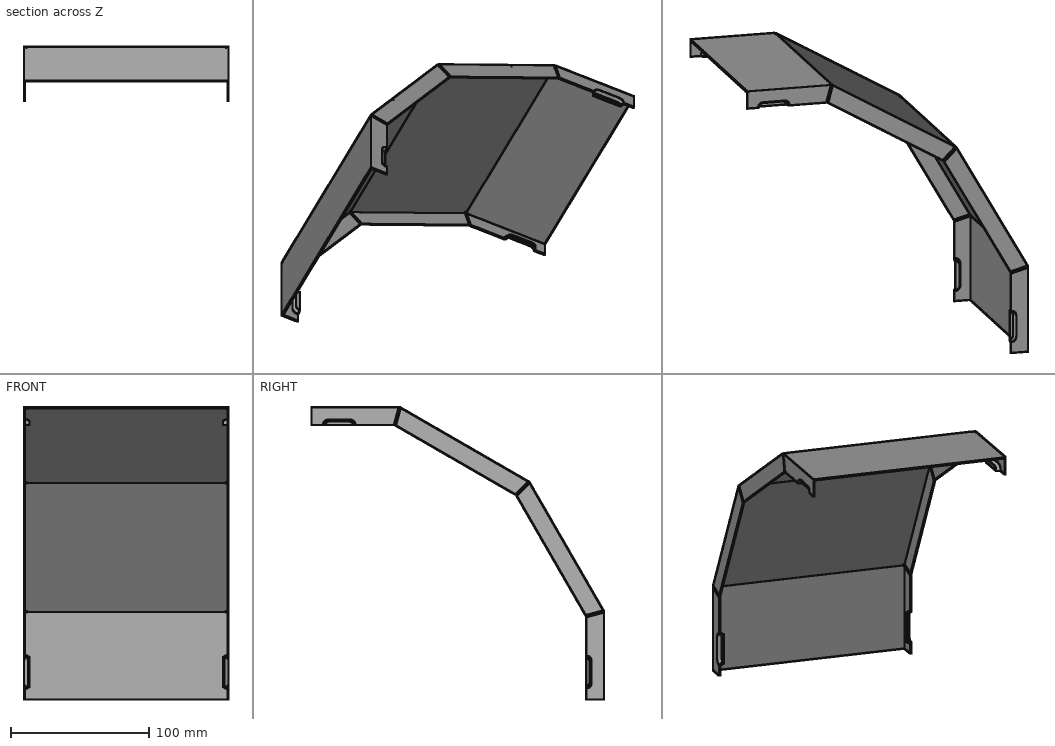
import cadquery as cq
import math

width = 148.0
overall = 211.35

sheet = 1.0
flange_depth = 13.0
fold_angle = 30.0
fold_count = 3
end_panel = 63.8
fold = math.radians(fold_angle)
half_fold = fold / 2
slant_panel = (overall - end_panel) / (math.sin(fold) + math.cos(fold))

slit_width = 1.2
slit_reach = 2.0

dimple_centre = 20.0
dimple_straight = 15.5
dimple_radius = 4.0
dimple_depth = 3.0
dimple_inset = 1.5

half_width = width / 2


def fold_points():
    """Outer (Y, Z) corners from the lower free end to the upper free end."""
    run_short = slant_panel * math.sin(fold)
    run_long = slant_panel * math.cos(fold)
    return [
        (overall, 0),
        (overall, end_panel),
        (overall - run_short, end_panel + run_long),
        (end_panel, overall),
        (0, overall),
    ]


def inner_points(offset):
    """Fold corners moved inward so every panel lies `offset` below its outer face."""
    corners = fold_points()
    moved = [(overall - offset, 0)]
    for index, (y, z) in enumerate(corners[1:-1]):
        bisector = fold * index + half_fold
        reach = offset / math.cos(half_fold)
        moved.append((y - reach * math.cos(bisector), z - reach * math.sin(bisector)))
    moved.append((0, overall - offset))
    return moved


def folded_band(depth, x_start, x_length):
    """Band that follows the folds, `depth` thick, extruded along X."""
    outline = fold_points() + inner_points(depth)[::-1]
    return cq.Workplane("YZ").workplane(offset=x_start).polyline(outline).close().extrude(x_length)


def folded_sheet():
    """Roof of four panels with a flange folded down along each side."""
    roof = folded_band(sheet, -half_width, width)
    left_flange = folded_band(flange_depth, -half_width, sheet)
    right_flange = folded_band(flange_depth, half_width - sheet, sheet)
    return roof.union(left_flange).union(right_flange)


def slit_cutter(index, x_start):
    """Narrow box along the fold bisector, from outside the fold to beyond the flange edge."""
    y, z = fold_points()[index + 1]
    length = 2 * (flange_depth + slit_width) / math.cos(half_fold)
    angle = fold_angle * (index + 0.5)
    return (
        cq.Workplane("XY")
        .box(slit_reach, length, slit_width, centered=(False, True, True))
        .translate((x_start, 0, 0))
        .rotate((0, 0, 0), (1, 0, 0), angle)
        .translate((0, y, z))
    )


def dimple_block(radius, x_face, draft):
    """Tapered half slot, pressed along +X from the face at x_face on the lower end panel."""
    length = dimple_straight + 2 * radius
    edge_y = overall - flange_depth
    block = (
        cq.Workplane("YZ", origin=(x_face, edge_y, dimple_centre))
        .slot2D(length, 2 * radius, 90)
        .extrude(dimple_depth, taper=math.degrees(draft))
    )
    beyond_edge = cq.Workplane("XY").box(dimple_depth, radius, length, centered=(False, False, True))
    beyond_edge = beyond_edge.translate((x_face, edge_y - radius, dimple_centre))
    return block.cut(beyond_edge)


def four_copies(tool):
    """A left dimple tool on the lower panel, repeated on both sides of both end panels."""
    lower_pair = [tool, tool.mirror("YZ")]
    upper_pair = [cq.Workplane(side.val().mirror(cq.Vector(0, 1, -1))) for side in lower_pair]
    return lower_pair + upper_pair


def press_dimples(body):
    """Add the raised inner walls of all four dimples, then hollow them from outside."""
    draft = math.atan2(dimple_inset, dimple_depth)
    wall = sheet / math.cos(draft) - sheet * math.tan(draft)
    shell = dimple_block(dimple_radius + wall, sheet - half_width, draft)
    hollow = dimple_block(dimple_radius, -half_width, draft)
    for tool in four_copies(shell):
        body = body.union(tool)
    for tool in four_copies(hollow):
        body = body.cut(tool)
    return body


def cut_slits(body):
    """Part both flanges at each fold."""
    for index in range(fold_count):
        for x_start in (-half_width, half_width - slit_reach):
            body = body.cut(slit_cutter(index, x_start))
    return body


result = cut_slits(press_dimples(folded_sheet()))